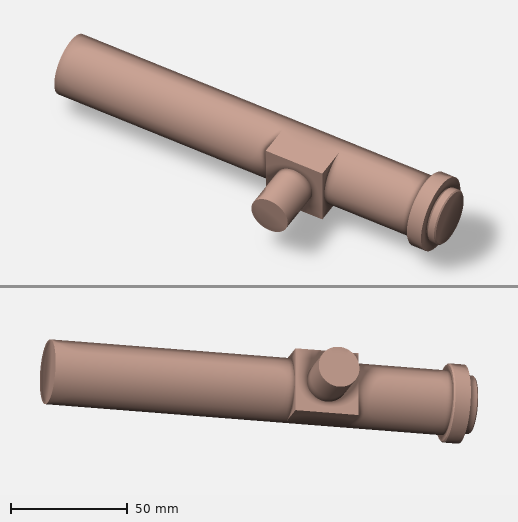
import cadquery as cq

total_length = 187.3
barrel_diameter = 28.0

flange_diameter = 34.0
flange_start = 175.5
flange_end = 182.8
neck_diameter = 24.2
lip_diameter = 25.3
lip_start = 183.7
edge_chamfer = 0.5

block_center_x = 119.5
block_side = barrel_diameter
block_reach = 16.0
stub_diameter = 18.0
stub_reach = 37.0


def disc(diameter, start, end):
    """Cylinder on the X axis between two X positions."""
    return cq.Workplane("YZ", origin=(start, 0, 0)).circle(diameter / 2).extrude(end - start)


barrel = disc(barrel_diameter, 0, flange_start)
flange = disc(flange_diameter, flange_start, flange_end).faces("<X").chamfer(edge_chamfer)
neck = disc(neck_diameter, flange_end, lip_start)
lip = disc(lip_diameter, lip_start, total_length).faces(">X").chamfer(edge_chamfer)

side_plane = cq.Workplane("XZ", origin=(block_center_x, 0, 0))
block = side_plane.rect(block_side, block_side).extrude(block_reach)
stub = side_plane.circle(stub_diameter / 2).extrude(stub_reach)

result = barrel.union(flange).union(neck).union(lip).union(block).union(stub)